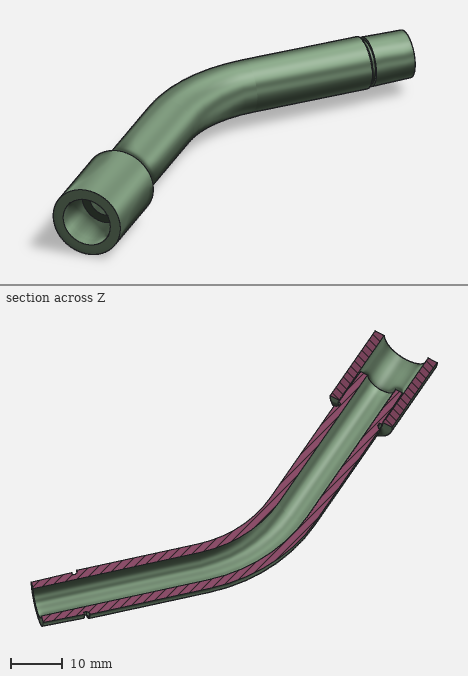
import cadquery as cq
import math

tube_diameter = 10.3
bore_diameter = 6.2
leg_length = 24.0
bend_radius = 28.0
bend_angle = 45.0

groove_diameter = 8.7
groove_width = 1.0
groove_chamfer = 0.45
spigot_root_diameter = 9.8
spigot_tip_diameter = 9.4
spigot_length = 8.2

collar_diameter = 14.0
collar_length = 17.0
collar_gap = 1.4

near_shoulder_y = collar_length + collar_gap
end_length = groove_width + spigot_length
bend_start_y = near_shoulder_y + leg_length
bend_rad = math.radians(bend_angle)
bend_end = (
    bend_radius * (1 - math.cos(bend_rad)),
    bend_start_y + bend_radius * math.sin(bend_rad),
)


def along_far_leg(distance):
    """Centre-line point at a distance past the end of the bend."""
    return (
        bend_end[0] + distance * math.sin(bend_rad),
        bend_end[1] + distance * math.cos(bend_rad),
    )


def sweep_round(diameter, end_extension):
    """Round bar along the bent centre line, extended beyond both shoulders."""
    start_y = near_shoulder_y - end_extension
    half_angle = bend_rad / 2
    bend_middle = (
        bend_radius * (1 - math.cos(half_angle)),
        bend_start_y + bend_radius * math.sin(half_angle),
    )
    path = (
        cq.Workplane("XY")
        .moveTo(0, start_y)
        .lineTo(0, bend_start_y)
        .threePointArc(bend_middle, bend_end)
        .lineTo(*along_far_leg(leg_length + end_extension))
    )
    section = cq.Workplane("XZ", origin=(0, start_y, 0)).circle(diameter / 2)
    return section.sweep(path)


def make_spigot():
    """Groove and tapered spigot along +Y, starting at the shoulder at the origin."""
    return (
        cq.Workplane("XY")
        .lineTo(groove_diameter / 2 + groove_chamfer, 0)
        .lineTo(groove_diameter / 2, groove_chamfer)
        .lineTo(groove_diameter / 2, groove_width)
        .lineTo(spigot_root_diameter / 2, groove_width)
        .lineTo(spigot_tip_diameter / 2, end_length)
        .lineTo(0, end_length)
        .close()
        .revolve(360, (0, 0, 0), (0, 1, 0))
    )


def make_tube():
    spigot = make_spigot()
    near_spigot = spigot.rotate((0, 0, 0), (0, 0, 1), 180).translate((0, near_shoulder_y, 0))
    far_shoulder = along_far_leg(leg_length)
    far_spigot = spigot.rotate((0, 0, 0), (0, 0, 1), -bend_angle).translate((*far_shoulder, 0))
    body = sweep_round(tube_diameter, 0).union(near_spigot).union(far_spigot)
    return body.cut(sweep_round(bore_diameter, end_length)).solids()


def make_collar():
    """Plain sleeve whose bore fits the root of the spigot."""
    return (
        cq.Workplane("XZ")
        .circle(collar_diameter / 2)
        .circle(spigot_root_diameter / 2)
        .extrude(-collar_length)
    )


tube = make_tube()
collar = make_collar()
result = cq.Compound.makeCompound([tube.val(), collar.val()])